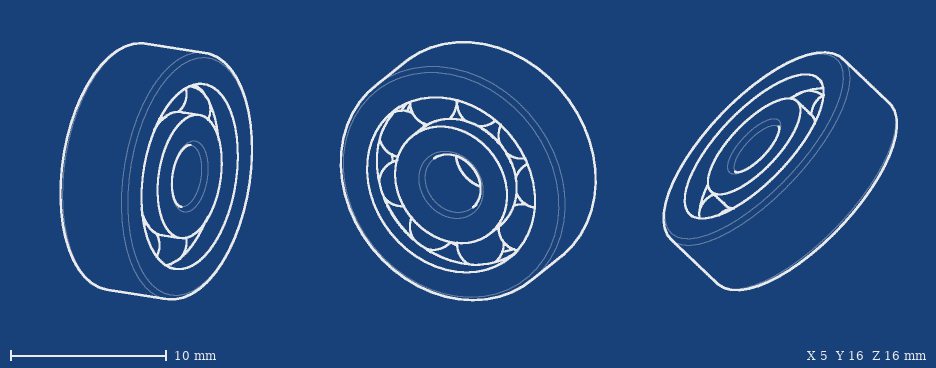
import cadquery as cq
import math

width = 5.0
outer_radius = 8.0
bore_radius = 2.0
edge_fillet = 0.3

outer_race_inner_radius = 6.0
inner_race_outer_radius = 4.0
ball_radius = 1.5
ball_count = 9
pitch_radius = (outer_race_inner_radius + inner_race_outer_radius) / 2

ball_bite = 0.02
groove_radius = ball_radius - ball_bite


def make_race(plain_radius, grooved_radius):
    """Ring with rounded ends on its plain side and a ball groove around its other side."""
    half_width = width / 2
    half_groove = math.sqrt(groove_radius**2 - (grooved_radius - pitch_radius) ** 2)
    groove_side = math.copysign(1, grooved_radius - pitch_radius)
    groove_bottom = pitch_radius + groove_side * groove_radius
    profile = (
        cq.Workplane("XZ")
        .moveTo(-half_width, plain_radius)
        .lineTo(-half_width, grooved_radius)
        .lineTo(-half_groove, grooved_radius)
        .threePointArc((0, groove_bottom), (half_groove, grooved_radius))
        .lineTo(half_width, grooved_radius)
        .lineTo(half_width, plain_radius)
        .close()
    )
    race = profile.revolve(360, (0, 0), (1, 0))
    plain_side_edges = cq.selectors.RadiusNthSelector(-1 if plain_radius > grooved_radius else 0)
    return race.edges("%CIRCLE").edges("<X or >X").edges(plain_side_edges).fillet(edge_fillet)


def make_ball(index):
    """Ball on the pitch circle; ball 0 sits on the +Y axis."""
    angle_from_y = index * 360 / ball_count
    ball = cq.Workplane("XY").sphere(ball_radius)
    return ball.translate((0, 0, pitch_radius)).rotate((0, 0, 0), (1, 0, 0), angle_from_y - 90)


outer_race = make_race(outer_radius, outer_race_inner_radius)
inner_race = make_race(bore_radius, inner_race_outer_radius)

result = outer_race
for ball_index in range(ball_count):
    result = result.union(make_ball(ball_index))
result = result.union(inner_race)